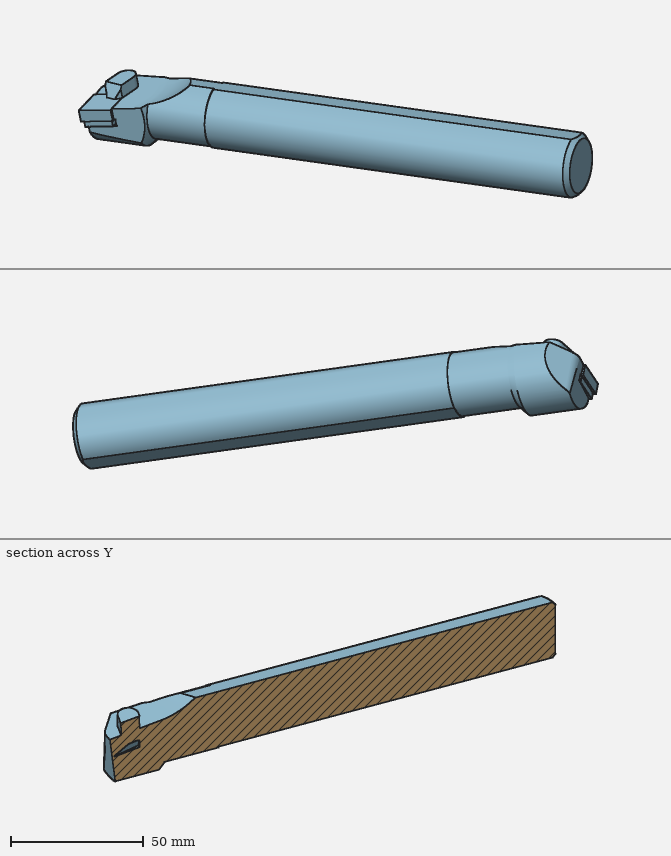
import cadquery as cq
import math

total_length = 200.0
shank_radius = 12.5
flat_height = 11.5
end_chamfer = 2.0

neck_end = 50.0
neck_radius = 12.2
neck_center_y = 0.2
head_end = 26.0
head_cone_length = 2.5
head_radius = 14.5
head_center_y = -2.0

tip = cq.Vector(0, -17.0, 0.2)
slope_x = 0.105
slope_y = 0.22
rake_plane = cq.Plane(origin=tip, xDir=(1, 0, slope_x), normal=(-slope_x, -slope_y, 1))
cut_depth = 40.0

runout_center = (5.2, 16.5)
runout_inner_radius = 20.0
runout_width = 21.0
runout_arc_radius = 32.0

front_x = 1.8
front_lean = 1.5
chamfer_start_y = 19.2
chamfer_angle = 46.0
front_blend_radius = 6.0
side_y = 1.5
side_angle = 3.5

insert_side = 12.8
insert_edge_angle = 5.0
insert_corner_angle = 80.0
insert_thickness = 4.8
shim_thickness = 2.8
shim_inset = 0.8
shim_clearance = 0.5

clamp_nose = (10.0, 12.0)
clamp_turn = -19.0
clamp_width = 8.0
clamp_length = 11.5
clamp_height = 5.0
nose_width = 4.0
nose_reach = 2.2
nose_setback = 0.8


def rake_sketch(depth=0.0):
    """Workplane parallel to the rake plane, the given depth below it."""
    return cq.Workplane(rake_plane).workplane(offset=-depth)


def bar_blank():
    """Shank, neck and eccentric head before the seat is cut."""
    shank = (
        cq.Workplane("YZ", origin=(neck_end, 0, 0))
        .circle(shank_radius)
        .extrude(total_length - neck_end)
        .faces(">X")
        .chamfer(end_chamfer)
    )
    neck_length = neck_end - head_end + head_cone_length
    neck = cq.Workplane("YZ", origin=(neck_end, neck_center_y, 0)).circle(neck_radius).extrude(-neck_length)
    cone_start = head_end - head_cone_length
    head = cq.Workplane("YZ").center(head_center_y, 0).circle(head_radius).extrude(cone_start)
    cone = (
        cq.Workplane("YZ", origin=(cone_start, 0, 0))
        .center(head_center_y, 0)
        .circle(head_radius)
        .workplane(offset=head_cone_length)
        .center(neck_center_y - head_center_y, 0)
        .circle(neck_radius)
        .loft()
    )
    return shank.union(neck).union(cone).union(head)


def between_flats():
    """Slab that leaves both flats on the bar and clears the deeper head."""
    shank_slab = cq.Workplane().box(
        total_length, 4 * shank_radius, 2 * flat_height, centered=(False, True, True)
    )
    front_slab = (
        cq.Workplane()
        .box(neck_end, 4 * shank_radius, flat_height + 2 * head_radius, centered=(False, True, False))
        .translate((0, 0, -2 * head_radius))
    )
    return shank_slab.union(front_slab)


def runout_cutter():
    """Disc above the rake plane whose rim flares upward along a concave arc."""
    outer_radius = runout_inner_radius + runout_width

    def rise(width):
        return runout_arc_radius - math.sqrt(runout_arc_radius**2 - width**2)

    profile_plane = cq.Plane(
        origin=rake_plane.toWorldCoords(runout_center), xDir=rake_plane.xDir, normal=-rake_plane.yDir
    )
    return (
        cq.Workplane(profile_plane)
        .lineTo(runout_inner_radius, 0)
        .threePointArc(
            (runout_inner_radius + runout_width / 2, rise(runout_width / 2)),
            (outer_radius, rise(runout_width)),
        )
        .lineTo(outer_radius, cut_depth)
        .lineTo(0, cut_depth)
        .close()
        .revolve(360, (0, 0, 0), (0, 1, 0))
    )


def head_outline():
    """Block bounding the head: leaning front face, blended corner and side facet."""
    reach = total_length * 1.2
    rise = 2 * cut_depth
    chamfer_run = rise / math.tan(math.radians(chamfer_angle))
    side_rise = head_end * math.tan(math.radians(side_angle))
    block = (
        rake_sketch(-cut_depth / 2)
        .polyline([
            (front_x, side_y),
            (head_end, side_y + side_rise),
            (reach, side_y - cut_depth),
            (reach, chamfer_start_y + rise),
            (front_x + chamfer_run, chamfer_start_y + rise),
            (front_x, chamfer_start_y),
        ])
        .close()
        .extrude(-2 * cut_depth)
    )
    corner = rake_plane.toWorldCoords((front_x, chamfer_start_y, 0))
    return block.edges(cq.selectors.NearestToPointSelector(corner.toTuple())).fillet(front_blend_radius)


def front_clearance():
    """Wedge removed in front of the leaning front face."""
    lean_run = cut_depth * math.tan(math.radians(front_lean))
    return (
        cq.Workplane(cq.Plane(origin=tip, xDir=rake_plane.xDir, normal=-rake_plane.yDir))
        .polyline([(front_x, 0), (front_x + lean_run, -cut_depth), (-cut_depth, -cut_depth), (-cut_depth, 0)])
        .close()
        .extrude(2 * cut_depth, both=True)
    )


def rhombus_prism(depth, thickness, margin=0.0):
    """Rhombus of the insert, grown by margin on each side, extruded downward."""
    corner = math.radians(insert_corner_angle)
    side = insert_side + 2 * margin / math.sin(corner)
    first = math.radians(insert_edge_angle)
    second = first + corner
    along = (side * math.cos(first), side * math.sin(first))
    across = (side * math.cos(second), side * math.sin(second))
    half_angle = first + corner / 2
    shift = margin / math.sin(corner / 2)
    start = (-shift * math.cos(half_angle), -shift * math.sin(half_angle))
    return (
        rake_sketch(depth)
        .center(*start)
        .polyline([(0, 0), along, (along[0] + across[0], along[1] + across[1]), across])
        .close()
        .extrude(-thickness)
    )


def clamp():
    """Round-backed clamp on the rake plane with a sloping nose over the insert."""
    half = clamp_width / 2
    base_plane = cq.Workplane(rake_plane).center(*clamp_nose).plane.rotated((0, 0, clamp_turn))
    body = (
        cq.Workplane(base_plane)
        .moveTo(-half, 0)
        .lineTo(-nose_width / 2, -nose_reach)
        .lineTo(nose_width / 2, -nose_reach)
        .lineTo(half, 0)
        .lineTo(half, clamp_length - half)
        .threePointArc((0, clamp_length), (-half, clamp_length - half))
        .close()
        .extrude(clamp_height)
    )
    slope_plane = cq.Plane(origin=base_plane.origin, xDir=base_plane.yDir, normal=base_plane.xDir)
    nose_slope = (
        cq.Workplane(slope_plane)
        .polyline([(-nose_reach, 0), (nose_setback, clamp_height), (-nose_reach, clamp_height)])
        .close()
        .extrude(clamp_width, both=True)
    )
    return body.cut(nose_slope)


def holder():
    """Bar with its seat, the shim and the clamp."""
    body = bar_blank().intersect(between_flats()).cut(runout_cutter())
    body = body.intersect(head_outline()).cut(front_clearance())
    body = body.cut(rhombus_prism(0, insert_thickness))
    body = body.cut(rhombus_prism(insert_thickness, shim_thickness, shim_clearance))
    body = body.union(rhombus_prism(insert_thickness, shim_thickness, -shim_inset))
    return body.union(clamp())


def insert():
    """Cutting insert seated flush with the rake plane."""
    return rhombus_prism(0, insert_thickness)


result = cq.Compound.makeCompound([holder().val(), insert().val()])